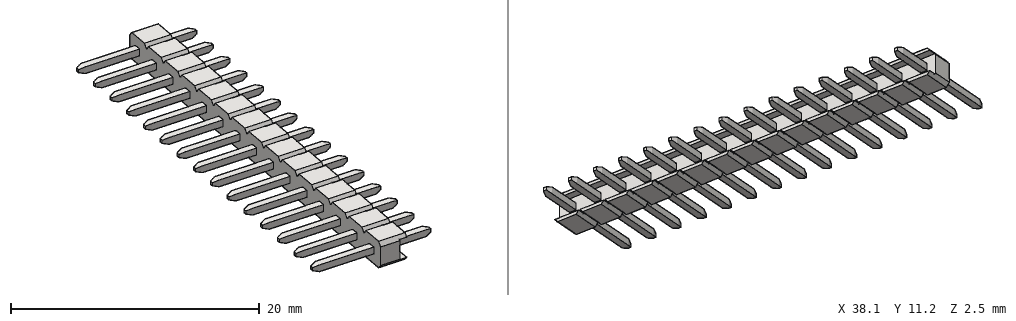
import cadquery as cq

pin_count = 15
housing_length = 38.1
pitch = housing_length / pin_count
housing_depth = 2.5
housing_height = 2.5
notch_half_width = 0.3
notch_depth = 0.4

channel_depth = 0.7
lip_thickness = 0.3

pin_width = 0.65
pin_length = 11.2
pin_tip_width = 0.3
pin_tip_length = 0.55
pin_front_reach = 5.68
pin_offset = -0.095

half_height = housing_height / 2
housing_front = -pin_length / 2 + pin_front_reach
housing_back = housing_front + housing_depth


def cell_center(index):
    return (index + 0.5) * pitch - housing_length / 2


def make_cell(center_x):
    """One housing cell: an octagonal profile extruded from front to back."""
    half_pitch = pitch / 2
    shoulder_x = half_pitch - notch_half_width
    shoulder_z = half_height - notch_depth
    outline = [
        (-half_pitch, -shoulder_z),
        (-shoulder_x, -half_height),
        (shoulder_x, -half_height),
        (half_pitch, -shoulder_z),
        (half_pitch, shoulder_z),
        (shoulder_x, half_height),
        (-shoulder_x, half_height),
        (-half_pitch, shoulder_z),
    ]
    return (
        cq.Workplane("XZ", origin=(center_x, housing_front, 0))
        .polyline(outline)
        .close()
        .extrude(-housing_depth)
    )


def make_channel():
    """Cutter for the full-length channel in the back face."""
    return cq.Workplane("XY").box(
        housing_length, channel_depth, housing_height - 2 * lip_thickness
    ).translate((0, housing_back - channel_depth / 2, 0))


def make_pin_tip(center_x, direction):
    """Pyramid frustum on one end of a pin; direction is +1 for back, -1 for front."""
    base_y = direction * (pin_length / 2 - pin_tip_length)
    plane = cq.Plane(origin=(center_x, base_y, 0), xDir=(1, 0, 0), normal=(0, direction, 0))
    return (
        cq.Workplane(plane)
        .rect(pin_width, pin_width)
        .workplane(offset=pin_tip_length)
        .rect(pin_tip_width, pin_tip_width)
        .loft(ruled=True)
    )


def make_pin(center_x):
    """Square pin running through the housing, tapered at both ends."""
    shank_length = pin_length - 2 * pin_tip_length
    shank = cq.Workplane("XY").box(pin_width, shank_length, pin_width).translate((center_x, 0, 0))
    return shank.union(make_pin_tip(center_x, 1)).union(make_pin_tip(center_x, -1))


housing = make_cell(cell_center(0))
for index in range(1, pin_count):
    housing = housing.union(make_cell(cell_center(index)))

result = housing.cut(make_channel())
for index in range(pin_count):
    result = result.union(make_pin(cell_center(index) + pin_offset))